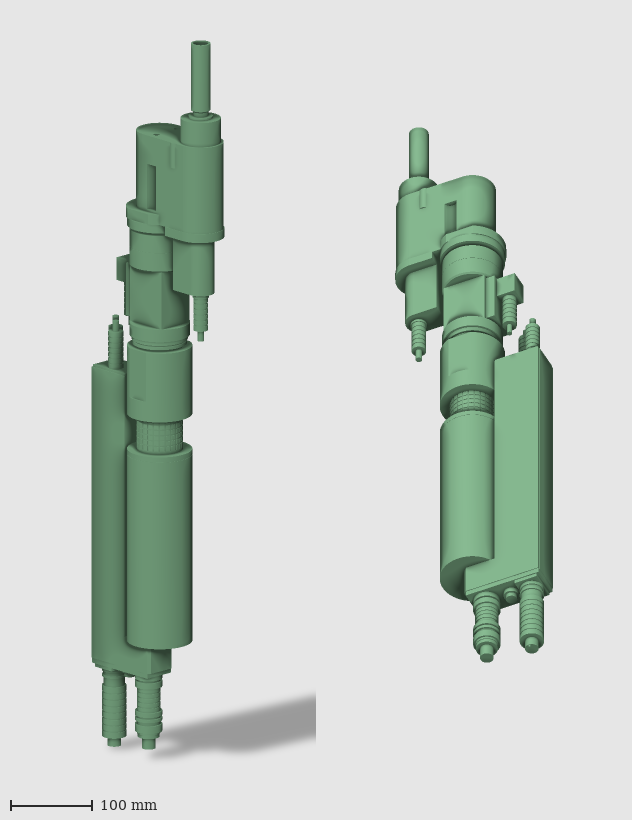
import cadquery as cq

TOTAL_HEIGHT = 932.0
FOOT_BOTTOM = 108.0
TUBE_BOTTOM = 154.0
TUBE_TOP = 399.0
GEARBOX_BOTTOM = 444.0
GEARBOX_TOP = 531.0
COLLAR_BOTTOM = 545.0
COLLAR_TOP = 561.0
COUPLING_BOTTOM = 634.0
COUPLING_TOP = 680.0
HEAD_BOTTOM = 685.0
HEAD_TOP = 806.0
NOSE_TOP = 837.0

TUBE_DIA = 80.0
TUBE_RADIUS = TUBE_DIA / 2
COLLAR_DIA = 75.0
CAGE_DIA = 57.0
SPINDLE_X = 73.0
HEAD_RADIUS = 29.0
CABLE_DIA = 8.0

SEAM_WIDTH = 0.5
SEAM_DEPTH = 0.6

RIB_GROOVE_WIDTH = 2.0
RIB_GROOVE_DEPTH = 1.0


def cylinder(x, y, bottom, top, diameter):
    return cq.Workplane("XY", origin=(x, y, bottom)).circle(diameter / 2).extrude(top - bottom)


def box(x_min, x_max, width, bottom, top):
    """Box centred on the Y = 0 plane."""
    return (
        cq.Workplane("XY", origin=((x_min + x_max) / 2, 0, bottom))
        .rect(x_max - x_min, width)
        .extrude(top - bottom)
    )


def ring(x, y, bottom, top, outer_dia, inner_dia):
    return (
        cq.Workplane("XY", origin=(x, y, bottom))
        .circle(outer_dia / 2)
        .circle(inner_dia / 2)
        .extrude(top - bottom)
    )


def seam(z, diameter):
    """Cutter for a shallow seam groove around the main axis."""
    half = SEAM_WIDTH / 2
    return ring(0, 0, z - half, z + half, diameter + 9, diameter - 2 * SEAM_DEPTH)


def stepped_shaft(x, y, start, steps):
    """Coaxial steps stacked from `start`; each step is (end height, diameter)."""
    shaft = None
    for end, diameter in steps:
        step = cylinder(x, y, min(start, end), max(start, end), diameter)
        shaft = step if shaft is None else shaft.union(step)
        start = end
    return shaft


def grooved(body, x, y, bottom, top, count, diameter):
    """Cut evenly spaced ring grooves into the round stretch from `bottom` to `top`."""
    pitch = (top - bottom) / (count + 1)
    for i in range(count):
        z = bottom + (i + 1) * pitch - RIB_GROOVE_WIDTH / 2
        inner_dia = diameter - 2 * RIB_GROOVE_DEPTH
        body = body.cut(ring(x, y, z, z + RIB_GROOVE_WIDTH, diameter + 9, inner_dia))
    return body


def capsule(x_min, x_max, radius, bottom, top):
    """Bar with both ends rounded, centred on the Y = 0 plane."""
    return (
        cq.Workplane("XY", origin=((x_min + x_max) / 2, 0, bottom))
        .slot2D(x_max - x_min, 2 * radius)
        .extrude(top - bottom)
    )


SPINDLE_DIA = 24.0
SPINDLE_FLANGE_DIA = 30.0
SPINDLE_NECK_DIA = 19.0
SPINDLE_BORE_DIA = 19.0
SPINDLE_BORE_DEPTH = 9.0
SPINDLE_CHAMFER = 2.0
SPINDLE_FLANGE_TOP = NOSE_TOP + 3.0
SPINDLE_NECK_TOP = 845.0


def make_spindle():
    base = stepped_shaft(
        SPINDLE_X, 0, NOSE_TOP,
        [(SPINDLE_FLANGE_TOP, SPINDLE_FLANGE_DIA), (SPINDLE_NECK_TOP, SPINDLE_NECK_DIA)],
    )
    rod = cylinder(SPINDLE_X, 0, SPINDLE_NECK_TOP, TOTAL_HEIGHT, SPINDLE_DIA)
    rod = rod.faces("<Z").chamfer(SPINDLE_CHAMFER)
    bore = cylinder(SPINDLE_X, 0, TOTAL_HEIGHT - SPINDLE_BORE_DEPTH, TOTAL_HEIGHT, SPINDLE_BORE_DIA)
    return base.union(rod).cut(bore)


NOSE_DIA = 49.0
HEAD_FLANGE_DIA = 83.0
HEAD_FLANGE_TOP = 709.0
HEAD_PLATE_TOP = 696.0
HEAD_PLATE_MARGIN = 1.0
HEAD_PLATE_X_MIN = 41.0
FLANGE_FLAT_Y = 37.0
LUG_DIA = 14.0
LUG_X = 53.0
LUG_REACH = 31.0
LUG_BOTTOM = 774.0
SIDE_GROOVE_DIA = 17.0
SIDE_GROOVE_X = 16.0
SIDE_GROOVE_BOTTOM = 712.0
SIDE_GROOVE_TOP = 770.0
SIDE_GROOVE_DEPTH = 6.5
SCREW_HOLE_DIA = 8.0
SCREW_HOLE_X = 13.0
SCREW_HOLE_Y = 18.0
SCREW_HOLE_DEPTH = 5.0


def make_head():
    x_max = SPINDLE_X + HEAD_RADIUS
    head = capsule(-HEAD_RADIUS, x_max - HEAD_PLATE_MARGIN, HEAD_RADIUS, HEAD_PLATE_TOP, HEAD_TOP)
    head = head.union(cylinder(SPINDLE_X, 0, HEAD_TOP, NOSE_TOP, NOSE_DIA))
    plate_radius = HEAD_RADIUS + HEAD_PLATE_MARGIN
    plate = capsule(-plate_radius, x_max, plate_radius, HEAD_BOTTOM, HEAD_PLATE_TOP)
    head = head.union(plate.intersect(box(HEAD_PLATE_X_MIN, x_max, TUBE_DIA, HEAD_BOTTOM, HEAD_PLATE_TOP)))
    flange = cylinder(0, 0, HEAD_PLATE_TOP, HEAD_FLANGE_TOP, HEAD_FLANGE_DIA)
    flats = box(
        -HEAD_FLANGE_DIA / 2, HEAD_FLANGE_DIA / 2, 2 * FLANGE_FLAT_Y, HEAD_PLATE_TOP, HEAD_FLANGE_TOP
    )
    lower_flange = cylinder(0, 0, HEAD_BOTTOM, HEAD_PLATE_TOP, TUBE_DIA)
    head = head.union(flange.intersect(flats)).union(lower_flange)
    for side in (-1, 1):
        lug_y = side * (LUG_REACH - LUG_DIA / 2)
        head = head.union(cylinder(LUG_X, lug_y, LUG_BOTTOM, HEAD_TOP, LUG_DIA))
        groove_y = side * (HEAD_RADIUS + SIDE_GROOVE_DIA / 2 - SIDE_GROOVE_DEPTH)
        head = head.cut(
            cylinder(SIDE_GROOVE_X, groove_y, SIDE_GROOVE_BOTTOM, SIDE_GROOVE_TOP, SIDE_GROOVE_DIA)
        )
        hole_bottom = HEAD_TOP - SCREW_HOLE_DEPTH
        head = head.cut(
            cylinder(SCREW_HOLE_X, side * SCREW_HOLE_Y, hole_bottom, HEAD_TOP, SCREW_HOLE_DIA)
        )
    return head


SENSOR_BOTTOM = 613.0
SENSOR_X_MIN = 41.0
SENSOR_RADIUS = 17.0
SENSOR_PLUG_RING_DIA = 20.5
SENSOR_PLUG_DIA = 18.0
SENSOR_PLUG_NECK_DIA = 16.0
SENSOR_RING_TOP = 610.0
SENSOR_PLUG_TOP = 608.0
SENSOR_PLUG_BOTTOM = 566.0
SENSOR_CABLE_BOTTOM = 552.0
SENSOR_RIB_COUNT = 5


def make_sensor():
    block = box(SENSOR_X_MIN, SPINDLE_X, 2 * SENSOR_RADIUS, SENSOR_BOTTOM, HEAD_BOTTOM)
    block = block.union(cylinder(SPINDLE_X, 0, SENSOR_BOTTOM, HEAD_BOTTOM, 2 * SENSOR_RADIUS))
    plug = stepped_shaft(
        SPINDLE_X, 0, SENSOR_BOTTOM,
        [
            (SENSOR_RING_TOP, SENSOR_PLUG_NECK_DIA),
            (SENSOR_PLUG_TOP, SENSOR_PLUG_RING_DIA),
            (SENSOR_PLUG_BOTTOM, SENSOR_PLUG_DIA),
            (SENSOR_CABLE_BOTTOM, CABLE_DIA),
        ],
    )
    plug = grooved(plug, SPINDLE_X, 0, SENSOR_PLUG_BOTTOM, SENSOR_PLUG_TOP, SENSOR_RIB_COUNT, SENSOR_PLUG_DIA)
    return block.union(plug)


COUPLING_NECK_DIA = 61.5
COUPLING_SEAM = 659.0
COUPLING_CHAMFER = 2.0


def make_coupling():
    body = cylinder(0, 0, COUPLING_BOTTOM, COUPLING_TOP, COLLAR_DIA)
    body = body.faces("<Z").chamfer(COUPLING_CHAMFER)
    neck = cylinder(0, 0, COUPLING_TOP, HEAD_BOTTOM, COUPLING_NECK_DIA)
    return body.union(neck).cut(seam(COUPLING_SEAM, COLLAR_DIA))


BLOCK_HALF_X = 28.0
BLOCK_WIDTH = 47.5
PLATE_X_MIN = -39.0
PLATE_WIDTH = 39.0
PLATE_BOTTOM = 565.0
PLATE_TOP = 632.0
SOCKET_X_MIN = -63.0
SOCKET_WIDTH = 25.0
SOCKET_BOTTOM = 603.0
PLUG_X = -50.0
PLUG_DIA = 18.0
PLUG_BOTTOM = 559.0
PLUG_CABLE_DIA = 6.5
PLUG_CABLE_BOTTOM = 546.0
PLUG_RIB_COUNT = 5


def make_transducer():
    body = box(-BLOCK_HALF_X, BLOCK_HALF_X, BLOCK_WIDTH, COLLAR_TOP, COUPLING_BOTTOM)
    body = body.union(cylinder(0, 0, COLLAR_BOTTOM, COLLAR_TOP, COLLAR_DIA))
    body = body.union(box(PLATE_X_MIN, -BLOCK_HALF_X, PLATE_WIDTH, PLATE_BOTTOM, PLATE_TOP))
    body = body.union(box(SOCKET_X_MIN, PLATE_X_MIN, SOCKET_WIDTH, SOCKET_BOTTOM, PLATE_TOP))
    plug = stepped_shaft(
        PLUG_X, 0, SOCKET_BOTTOM,
        [(PLUG_BOTTOM, PLUG_DIA), (PLUG_CABLE_BOTTOM, PLUG_CABLE_DIA)],
    )
    plug = grooved(plug, PLUG_X, 0, PLUG_BOTTOM, SOCKET_BOTTOM, PLUG_RIB_COUNT, PLUG_DIA)
    return body.union(plug)


GEARBOX_FLAT_Y = 37.0
GEARBOX_FLAT_BOTTOM = 469.0
NECK_STEPS = [(534.0, 60.0), (538.0, 67.0), (540.0, 63.0), (COLLAR_BOTTOM, 69.0)]


def make_gearbox():
    body = cylinder(0, 0, GEARBOX_BOTTOM, GEARBOX_TOP, TUBE_DIA)
    for side in (-1, 1):
        flat_depth = TUBE_RADIUS - GEARBOX_FLAT_Y
        flat = cq.Workplane("XY").box(
            TUBE_DIA, flat_depth, GEARBOX_TOP - GEARBOX_FLAT_BOTTOM, centered=(True, True, False)
        )
        flat_y = side * (GEARBOX_FLAT_Y + flat_depth / 2)
        body = body.cut(flat.translate((0, flat_y, GEARBOX_FLAT_BOTTOM)))
    neck = stepped_shaft(0, 0, GEARBOX_TOP, NECK_STEPS)
    return body.union(neck)


TUBE_SEAM = 392.0
CAGE_BAND_HEIGHT = 4.0
CAGE_GROOVE_COUNT = 5
CAGE_SLOT_COUNT = 24
CAGE_SLOT_WIDTH = 2.0


def make_motor():
    tube = cylinder(0, 0, TUBE_BOTTOM, TUBE_TOP, TUBE_DIA).cut(seam(TUBE_SEAM, TUBE_DIA))
    band_top = TUBE_TOP + CAGE_BAND_HEIGHT
    cage = cylinder(0, 0, band_top, GEARBOX_BOTTOM, CAGE_DIA)
    cage = grooved(cage, 0, 0, band_top, GEARBOX_BOTTOM, CAGE_GROOVE_COUNT, CAGE_DIA)
    slots = (
        cq.Workplane("XY", origin=(0, 0, band_top))
        .polarArray(CAGE_DIA / 2, 0, 360, CAGE_SLOT_COUNT)
        .rect(2 * RIB_GROOVE_DEPTH, CAGE_SLOT_WIDTH)
        .extrude(GEARBOX_BOTTOM - band_top)
    )
    band = cylinder(0, 0, TUBE_TOP, band_top, CAGE_DIA)
    return tube.union(band).union(cage.cut(slots))


CASE_X_MIN = -100.0
CASE_TOP = 489.0
CASE_WIDTH = 42.0
CAP_HEIGHT = 3.0
CAP_INSET = 1.4
PANEL_INSET = 3.3
PANEL_THICKNESS = 0.7
CASE_FACE_X = CASE_X_MIN + PANEL_THICKNESS
SIGNAL_PLUG_TOP = 536.0
SIGNAL_CABLE_TOP = 549.0
SIGNAL_RIB_COUNT = 6
SIGNAL_PLUGS = [(-85.0, 6.5, 18.0), (-69.0, -8.0, 19.0)]


def end_panel(bottom, top):
    """Thin raised panel on the outer end face."""
    return box(CASE_X_MIN, CASE_FACE_X, CASE_WIDTH - 2 * PANEL_INSET, bottom, top)


def make_case():
    cap_bottom = CASE_TOP - CAP_HEIGHT
    body = box(CASE_FACE_X, -TUBE_RADIUS, CASE_WIDTH, TUBE_BOTTOM, cap_bottom)
    body = body.union(end_panel(TUBE_BOTTOM, cap_bottom))
    cap_width = CASE_WIDTH - 2 * CAP_INSET
    body = body.union(box(CASE_FACE_X + CAP_INSET, -TUBE_RADIUS, cap_width, cap_bottom, CASE_TOP))
    for x, y, diameter in SIGNAL_PLUGS:
        plug = stepped_shaft(
            x, y, CASE_TOP, [(SIGNAL_PLUG_TOP, diameter), (SIGNAL_CABLE_TOP, CABLE_DIA)]
        )
        body = body.union(grooved(plug, x, y, CASE_TOP, SIGNAL_PLUG_TOP, SIGNAL_RIB_COUNT, diameter))
    return body


FOOT_X_MAX = 3.0
FOOT_CHAMFER = 4.0
FOOT_FLANGE_BOTTOM = 103.0
FOOT_FLANGE_WIDTH = 37.0
FOOT_PLATE_TOP = 115.0
FOOT_PLATE_INSET = 1.0
POWER_PLUG_DIA = 30.0
POWER_CABLE_DIA = 17.0
LEFT_PLUG_X = -80.6
LEFT_PLUG_BOTTOM = 15.0
LEFT_CABLE_BOTTOM = 3.0
LEFT_PLUG_RIB_TOP = 80.0
LEFT_PLUG_RIB_COUNT = 7
WIRE_DIA = 3.0
WIRE_Y = 6.5
RIGHT_PLUG_X = -20.0
RIGHT_PLUG_DIA = 29.0
RIGHT_COLLAR_DIA = 34.0
RIGHT_PLUG_BOTTOM = 27.0
RIGHT_CABLE_BOTTOM = 12.0
RIGHT_PLUG_RIB_TOP = 91.0
RIGHT_PLUG_RIB_BOTTOM = 61.0
RIGHT_PLUG_RIB_COUNT = 4
BUTTON_X = -53.0

LEFT_PLUG_STEPS = [
    (99.0, POWER_PLUG_DIA),
    (94.0, 27.0),
    (91.0, POWER_PLUG_DIA),
    (LEFT_PLUG_RIB_TOP, 26.0),
    (LEFT_PLUG_BOTTOM, POWER_PLUG_DIA),
    (LEFT_CABLE_BOTTOM, POWER_CABLE_DIA),
]
RIGHT_PLUG_STEPS = [
    (102.0, RIGHT_COLLAR_DIA),
    (99.0, RIGHT_PLUG_DIA),
    (RIGHT_PLUG_RIB_TOP, RIGHT_COLLAR_DIA),
    (RIGHT_PLUG_RIB_BOTTOM, RIGHT_PLUG_DIA),
    (55.0, RIGHT_COLLAR_DIA),
    (52.0, RIGHT_PLUG_DIA),
    (48.0, RIGHT_COLLAR_DIA),
    (44.0, RIGHT_PLUG_DIA),
    (34.5, RIGHT_COLLAR_DIA),
    (32.0, RIGHT_PLUG_DIA),
    (RIGHT_PLUG_BOTTOM, 27.0),
    (RIGHT_CABLE_BOTTOM, POWER_CABLE_DIA),
]
BUTTON_STEPS = [(102.5, 20.0), (97.0, 14.0)]


def make_left_power_plug():
    plug = stepped_shaft(LEFT_PLUG_X, 0, FOOT_BOTTOM, LEFT_PLUG_STEPS)
    plug = grooved(
        plug, LEFT_PLUG_X, 0, LEFT_PLUG_BOTTOM, LEFT_PLUG_RIB_TOP, LEFT_PLUG_RIB_COUNT, POWER_PLUG_DIA
    )
    half_flange = POWER_PLUG_DIA / 2
    flange = box(
        LEFT_PLUG_X - half_flange,
        LEFT_PLUG_X + half_flange,
        FOOT_FLANGE_WIDTH,
        FOOT_FLANGE_BOTTOM,
        FOOT_BOTTOM,
    )
    wire = cylinder(LEFT_PLUG_X, WIRE_Y, 0, LEFT_CABLE_BOTTOM, WIRE_DIA)
    return plug.union(flange).union(wire)


def make_right_power_plug():
    plug = stepped_shaft(RIGHT_PLUG_X, 0, FOOT_BOTTOM, RIGHT_PLUG_STEPS)
    return grooved(
        plug,
        RIGHT_PLUG_X,
        0,
        RIGHT_PLUG_RIB_BOTTOM,
        RIGHT_PLUG_RIB_TOP,
        RIGHT_PLUG_RIB_COUNT,
        RIGHT_PLUG_DIA,
    )


def make_foot():
    body = box(CASE_FACE_X, FOOT_X_MAX, CASE_WIDTH, FOOT_PLATE_TOP, TUBE_BOTTOM)
    body = body.edges("|Z and >X").chamfer(FOOT_CHAMFER)
    body = body.union(end_panel(FOOT_PLATE_TOP, TUBE_BOTTOM))
    plate_width = CASE_WIDTH - 2 * FOOT_PLATE_INSET
    plate = box(CASE_FACE_X, FOOT_X_MAX - FOOT_CHAMFER, plate_width, FOOT_BOTTOM, FOOT_PLATE_TOP)
    body = body.union(plate)
    button = stepped_shaft(BUTTON_X, 0, FOOT_BOTTOM, BUTTON_STEPS)
    return body.union(make_left_power_plug()).union(make_right_power_plug()).union(button)


bodies = [
    make_spindle(),
    make_head(),
    make_sensor(),
    make_coupling(),
    make_transducer(),
    make_gearbox(),
    make_motor(),
    make_case(),
    make_foot(),
]

result = cq.Compound.makeCompound([body.solids().val() for body in bodies])